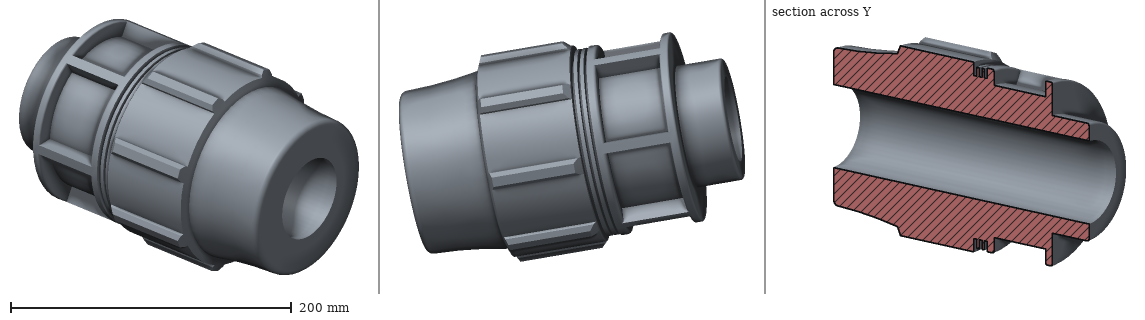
import cadquery as cq
import math


total_length = 232.0
collar_start = 33.2
collar_end = 92.5
nut_start = 104.5
nut_end = 174.0

bore_diameter = 61.5
spigot_diameter = 88.0
spigot_rounding = 2.0

flange_diameter = 136.9
flange_width = 6.5
near_flange_rounding = 1.5
far_flange_rounding = 2.0
drum_diameter = 113.5
collar_rib_count = 6
collar_rib_width = 7.5

neck_diameter = 121.5
ring_diameter = 135.0
ring_width = 2.5
ring_pitch = 4.6
first_ring_gap = 2.3
ring_count = 2

nut_radius = 70.8
nut_tail_radius = 64.5
tail_end_radius = 59.0
tail_waist_sag = 1.2
tail_rounding = 4.5

grip_count = 8
grip_top_radius = 75.9
grip_edge_radius = 72.5
grip_width = 12.3
grip_top_width = 7.0
shoulder_run_per_rise = 0.43

envelope_radius = grip_top_radius + 2.3


def cylinder(start, length, diameter):
    """Solid cylinder on the X axis, starting at the given X."""
    return cq.Workplane("YZ", origin=(start, 0, 0)).circle(diameter / 2).extrude(length)


def revolve_about_x(profile):
    """Full turn of a closed XY profile about the X axis."""
    return profile.revolve(360, (0, 0, 0), (1, 0, 0))


def around_axis(body, count, first_angle):
    """Union of evenly spaced copies of a body, turned about the X axis."""
    copies = cq.Workplane("YZ")
    for index in range(count):
        angle = first_angle + index * 360 / count
        copies = copies.union(body.rotate((0, 0, 0), (1, 0, 0), angle))
    return copies


def make_spigot():
    spigot = cylinder(0, collar_start + flange_width, spigot_diameter)
    return spigot.faces("<X").edges().fillet(spigot_rounding)


def make_collar():
    collar_length = collar_end - collar_start
    near_flange = cylinder(collar_start, flange_width, flange_diameter).edges().fillet(near_flange_rounding)
    far_flange = cylinder(collar_end - flange_width, flange_width, flange_diameter)
    far_flange = far_flange.faces("<X").edges().fillet(far_flange_rounding)
    drum = cylinder(collar_start + flange_width / 2, collar_length - flange_width, drum_diameter)

    plate_length = collar_length - flange_width
    plate = cq.Workplane("XY").box(plate_length, flange_diameter, collar_rib_width)
    plate = plate.translate(((collar_start + collar_end) / 2, 0, 0))
    plates = around_axis(plate, collar_rib_count // 2, 0)
    ribs = plates.intersect(cylinder(collar_start, collar_length, flange_diameter))
    return drum.union(near_flange).union(far_flange).union(ribs)


def make_neck():
    neck = cylinder(collar_end - flange_width / 2, nut_start - collar_end + flange_width, neck_diameter)
    for index in range(ring_count):
        ring_start = collar_end + first_ring_gap + index * ring_pitch
        neck = neck.union(cylinder(ring_start, ring_width, ring_diameter))
    return neck


def shoulder_x(radius):
    """X where the nut's conical shoulder has the given radius."""
    return nut_end - (radius - nut_tail_radius) * shoulder_run_per_rise


def make_grips():
    """Chamfered bars standing on the nut, longer than their finished length."""
    bar = (
        cq.Workplane("YZ", origin=(nut_start, 0, 0))
        .moveTo(-grip_width / 2, nut_tail_radius)
        .lineTo(-grip_width / 2, grip_edge_radius)
        .lineTo(-grip_top_width / 2, grip_top_radius)
        .lineTo(grip_top_width / 2, grip_top_radius)
        .lineTo(grip_width / 2, grip_edge_radius)
        .lineTo(grip_width / 2, nut_tail_radius)
        .close()
        .extrude(nut_end - nut_start)
    )
    return around_axis(bar, grip_count, 180 / grip_count)


def make_nut():
    """Gripped cylinder with 45 degree bar ends at the neck side and a conical shoulder at the tail side."""
    barrel = cylinder(nut_start, nut_end - nut_start, 2 * nut_radius)
    envelope = revolve_about_x(
        cq.Workplane("XY")
        .moveTo(nut_start, 0)
        .lineTo(nut_start, nut_radius)
        .lineTo(nut_start + envelope_radius - nut_radius, envelope_radius)
        .lineTo(shoulder_x(envelope_radius), envelope_radius)
        .lineTo(nut_end, nut_tail_radius)
        .lineTo(nut_end, 0)
        .close()
    )
    return barrel.union(make_grips()).intersect(envelope)


def make_tail():
    """Waisted sleeve beyond the nut, rounded at its free end."""
    rounding_start = total_length - tail_rounding
    waist_middle = (
        (nut_end + rounding_start) / 2,
        (nut_tail_radius + tail_end_radius) / 2 - tail_waist_sag,
    )
    arc_offset = tail_rounding * math.sqrt(0.5)
    rounding_middle = (rounding_start + arc_offset, tail_end_radius - tail_rounding + arc_offset)
    profile = (
        cq.Workplane("XY")
        .moveTo(nut_end, 0)
        .lineTo(nut_end, nut_tail_radius)
        .threePointArc(waist_middle, (rounding_start, tail_end_radius))
        .threePointArc(rounding_middle, (total_length, tail_end_radius - tail_rounding))
        .lineTo(total_length, 0)
        .close()
    )
    return revolve_about_x(profile)


body = make_spigot().union(make_collar()).union(make_neck()).union(make_nut()).union(make_tail())
result = body.cut(cylinder(0, total_length, bore_diameter))